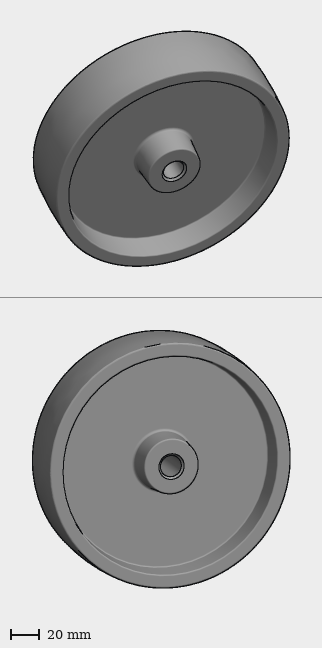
import cadquery as cq

wheel_radius = 87.5
edge_radius = 86.6
rim_half_width = 45.0 / 2
hub_half_length = 50.0 / 2
web_half_thickness = 5.0

rim_mouth_radius = 77.4
rim_foot_radius = 75.6
hub_end_radius = 19.5
hub_foot_radius = 21.0

bore_radius = 7.5
bore_chamfer = 1.5

tread_fillet = 1.2
mouth_fillet = 1.0
hub_end_fillet = 1.0
rim_foot_fillet = 1.0
hub_foot_fillet = 2.0


def crowned_disc():
    """Solid rim blank with an arched tread."""
    return (
        cq.Workplane("XY")
        .moveTo(-rim_half_width, 0)
        .lineTo(-rim_half_width, edge_radius)
        .threePointArc((0, wheel_radius), (rim_half_width, edge_radius))
        .lineTo(rim_half_width, 0)
        .close()
        .revolve(360, (0, 0, 0), (1, 0, 0))
        .faces("<X or >X")
        .edges()
        .fillet(tread_fillet)
    )


def cone(start_x, start_radius, end_x, end_radius):
    """Solid of revolution about X between two radii."""
    return (
        cq.Workplane("XY")
        .polyline([(start_x, 0), (start_x, start_radius), (end_x, end_radius), (end_x, 0)])
        .close()
        .revolve(360, (0, 0, 0), (1, 0, 0))
    )


def circle_edges(body, x, radius):
    """Select the circular edge at a given place on the axis and radius."""
    reach = 0.02
    ring = cq.selectors.BoxSelector(
        (x - reach, -radius - reach, -radius - reach),
        (x + reach, radius + reach, radius + reach),
        boundingbox=True,
    )
    return body.edges(ring).edges("%CIRCLE").filter(lambda edge: abs(edge.radius() - radius) < reach)


wheel = crowned_disc()

for side in (-1, 1):
    web_x = side * web_half_thickness
    rim_x = side * rim_half_width
    hub_x = side * hub_half_length
    wheel = wheel.cut(cone(web_x, rim_foot_radius, rim_x, rim_mouth_radius))
    wheel = wheel.union(cone(web_x, hub_foot_radius, hub_x, hub_end_radius))

for side in (-1, 1):
    web_x = side * web_half_thickness
    rim_x = side * rim_half_width
    hub_x = side * hub_half_length
    wheel = circle_edges(wheel, rim_x, rim_mouth_radius).fillet(mouth_fillet)
    wheel = circle_edges(wheel, web_x, rim_foot_radius).fillet(rim_foot_fillet)
    wheel = circle_edges(wheel, web_x, hub_foot_radius).fillet(hub_foot_fillet)
    wheel = circle_edges(wheel, hub_x, hub_end_radius).fillet(hub_end_fillet)

bore = cone(-hub_half_length, bore_radius, hub_half_length, bore_radius)
wheel = wheel.cut(bore)
for side in (-1, 1):
    wheel = circle_edges(wheel, side * hub_half_length, bore_radius).chamfer(bore_chamfer)

result = wheel